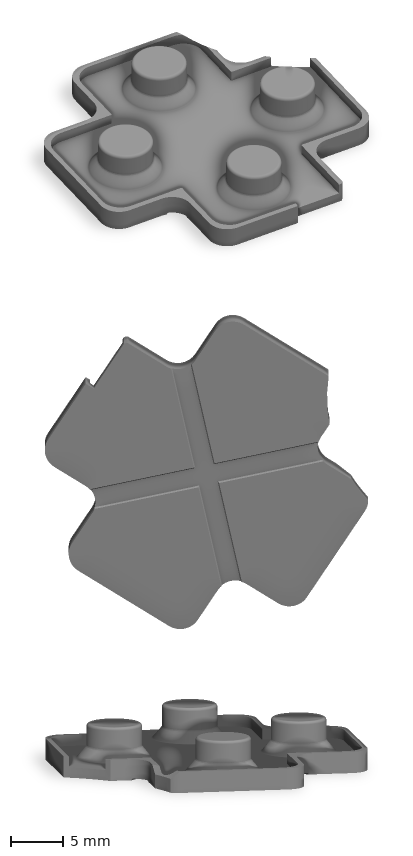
import cadquery as cq
import math

SPAN = 29.5
ARM_WIDTH = 14.35
PLATE_HEIGHT = 2.06
CORNER_RADIUS = 2.0
FLOOR_Z = 1.0
END_WALL = 0.47
SIDE_WALL = 0.53
POCKET_INNER_RADIUS = 0.12

KEY_OFFSET = 9.0
KEY_DIAMETER = 5.3
KEY_FLAT_DIAMETER = 4.75
KEY_BASE_Z = 2.2
KEY_TOP_Z = 4.35
SKIRT_BASE_DIAMETER = 7.2
SKIRT_COLLAR = 0.1
SKIRT_BLEND = 0.2

CHANNEL_MOUTH = 2.05
CHANNEL_ROOF = 1.8
CHANNEL_DEPTH = 0.18

BITE_X = -18.82
BITE_Y = 21.33
BITE_RADIUS = 15.78
BEVEL_WIDTH = 0.75
BEVEL_START_Z = 1.35
RIM_TIP_CHAMFER = 0.25

NOTCH_X = 13.85
NOTCH_Y = 1.53
NOTCH_CHAMFER = 0.25

SELECT_MARGIN = 0.03

KEY_CENTRES = [
    (KEY_OFFSET * math.cos(angle), KEY_OFFSET * math.sin(angle))
    for angle in (quarter * math.pi / 2 for quarter in range(4))
]


def cross_prism(span, width, bottom, top, inner_radius):
    """Upright cross with rounded arm tips and rounded inner corners.

    The +Y corner of the +X arm stays square, because the notch cuts through it.
    """
    height = top - bottom
    along_x = cq.Workplane("XY", origin=(0, 0, bottom)).rect(span, width).extrude(height)
    along_y = cq.Workplane("XY", origin=(0, 0, bottom)).rect(width, span).extrude(height)
    cross = along_x.union(along_y)
    reach = width / 2 + SELECT_MARGIN
    inner_box = cq.selectors.BoxSelector((-reach, -reach, bottom), (reach, reach, top))
    square_corner = cq.selectors.BoxSelector((reach, 0, bottom), (span, reach, top))
    tips = cq.StringSyntaxSelector("|Z") - inner_box - square_corner
    cross = cross.edges(tips).fillet(CORNER_RADIUS)
    return cross.edges("|Z").edges(inner_box).fillet(inner_radius)


def make_skirt():
    """Cone with a short neck, blended where the two meet."""
    cone_top = KEY_BASE_Z - SKIRT_COLLAR
    base_radius = SKIRT_BASE_DIAMETER / 2
    neck_radius = KEY_DIAMETER / 2
    skirt = (
        cq.Workplane("XZ")
        .moveTo(0, FLOOR_Z)
        .lineTo(base_radius, FLOOR_Z)
        .lineTo(neck_radius, cone_top)
        .lineTo(neck_radius, KEY_BASE_Z)
        .lineTo(0, KEY_BASE_Z)
        .close()
        .revolve(360, (0, 0, 0), (0, 1, 0))
    )
    neck_edge = cq.selectors.BoxSelector(
        (-base_radius, -base_radius, cone_top - SELECT_MARGIN),
        (base_radius, base_radius, cone_top + SELECT_MARGIN),
    )
    return skirt.edges("%CIRCLE").edges(neck_edge).fillet(SKIRT_BLEND)


def make_channel(direction):
    """Trapezoidal groove through the tray centre, open at both inner corners."""
    return (
        cq.Workplane("XZ")
        .polyline([
            (-CHANNEL_MOUTH / 2, 0),
            (CHANNEL_MOUTH / 2, 0),
            (CHANNEL_ROOF / 2, CHANNEL_DEPTH),
            (-CHANNEL_ROOF / 2, CHANNEL_DEPTH),
        ])
        .close()
        .extrude(SPAN / 2, both=True)
        .rotate((0, 0, 0), (0, 0, 1), direction)
    )


def make_bite():
    """Cylinder through the full height, plus a flaring cone over the -X arm."""
    cylinder = cq.Workplane("XY").center(BITE_X, BITE_Y).circle(BITE_RADIUS).extrude(PLATE_HEIGHT)
    cone = cq.Workplane("XY").add(
        cq.Solid.makeCone(
            BITE_RADIUS,
            BITE_RADIUS + BEVEL_WIDTH,
            PLATE_HEIGHT - BEVEL_START_Z,
            pnt=cq.Vector(BITE_X, BITE_Y, BEVEL_START_Z),
        )
    )
    arm_zone = cq.Workplane("XY").box(SPAN, ARM_WIDTH, PLATE_HEIGHT, centered=(True, True, False))
    return cylinder.union(cone.intersect(arm_zone))


def make_notch():
    """Prism that removes the arm corner and bevels the cut end of the side rim."""
    side = ARM_WIDTH / 2
    return (
        cq.Workplane("XY")
        .polyline([
            (NOTCH_X, NOTCH_Y),
            (SPAN / 2, NOTCH_Y),
            (SPAN / 2, side),
            (NOTCH_X - NOTCH_CHAMFER, side),
            (NOTCH_X, side - NOTCH_CHAMFER),
        ])
        .close()
        .extrude(PLATE_HEIGHT)
    )


def blunt_rim_tip(tray):
    """Chamfer the upright edge where the bite meets the inner -X wall of the +Y arm."""
    x = SIDE_WALL - ARM_WIDTH / 2
    y = BITE_Y - math.sqrt(BITE_RADIUS**2 - (x - BITE_X) ** 2)
    tip_edge = cq.selectors.BoxSelector(
        (x - SELECT_MARGIN, y - SELECT_MARGIN, FLOOR_Z),
        (x + SELECT_MARGIN, y + SELECT_MARGIN, PLATE_HEIGHT),
    )
    return tray.edges("|Z").edges(tip_edge).chamfer(RIM_TIP_CHAMFER)


def make_tray():
    tray = cross_prism(SPAN, ARM_WIDTH, 0, PLATE_HEIGHT, CORNER_RADIUS)
    pocket = cross_prism(
        SPAN - 2 * END_WALL,
        ARM_WIDTH - 2 * SIDE_WALL,
        FLOOR_Z,
        PLATE_HEIGHT,
        POCKET_INNER_RADIUS,
    )
    tray = tray.cut(pocket)

    skirt = make_skirt()
    for x, y in KEY_CENTRES:
        tray = tray.union(skirt.translate((x, y, 0)))
    largest_circles = cq.selectors.RadiusNthSelector(-1)
    tray = tray.edges("%CIRCLE").edges(largest_circles).fillet(SKIRT_BLEND)

    for direction in (45, -45):
        tray = tray.cut(make_channel(direction))
    tray = tray.cut(make_bite()).cut(make_notch())
    return blunt_rim_tip(tray)


def make_key(x, y):
    """Round key standing on a skirt, with a rounded top edge."""
    return (
        cq.Workplane("XY", origin=(x, y, KEY_BASE_Z))
        .circle(KEY_DIAMETER / 2)
        .extrude(KEY_TOP_Z - KEY_BASE_Z)
        .faces(">Z")
        .edges()
        .fillet((KEY_DIAMETER - KEY_FLAT_DIAMETER) / 2)
    )


tray = make_tray()
keys = [make_key(x, y) for x, y in KEY_CENTRES]

result = cq.Compound.makeCompound([tray.val(), *[key.val() for key in keys]])